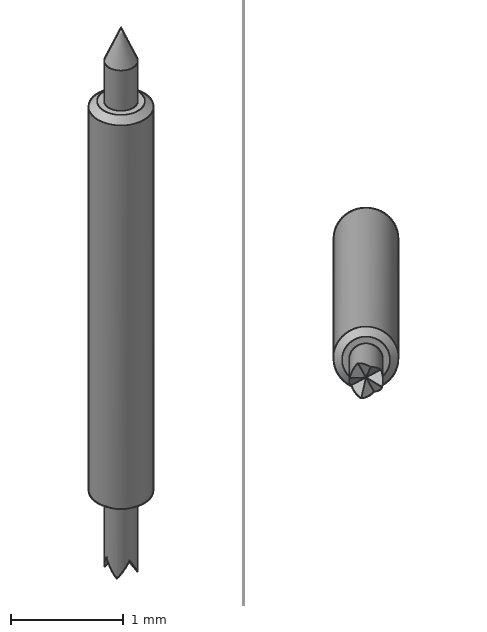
import cadquery as cq
import math

total_length = 5.9
barrel_diameter = 0.58
pin_diameter = 0.3
pin_projection = 0.8

chamfer_width = 0.075
chamfer_height = 0.06

cone_angle = 45.0

groove_depth = 0.18
groove_angle = 60.0

barrel_radius = barrel_diameter / 2
pin_radius = pin_diameter / 2
barrel_bottom = pin_projection
barrel_top = total_length - pin_projection
cone_height = pin_radius / math.tan(math.radians(cone_angle / 2))
cone_base = total_length - cone_height
groove_half_width = groove_depth * math.tan(math.radians(groove_angle / 2))


def turned_body():
    """Barrel, both pin ends and the cone, revolved from one half profile."""
    flat_radius = barrel_radius - chamfer_width
    profile = [
        (0, 0),
        (pin_radius, 0),
        (pin_radius, barrel_bottom),
        (flat_radius, barrel_bottom),
        (barrel_radius, barrel_bottom + chamfer_height),
        (barrel_radius, barrel_top - chamfer_height),
        (flat_radius, barrel_top),
        (pin_radius, barrel_top),
        (pin_radius, cone_base),
        (0, total_length),
    ]
    return cq.Workplane("XZ").polyline(profile).close().revolve(360, (0, 0), (0, 1))


def crown_groove(plane):
    """V-groove across the bottom end, running along the normal of the plane."""
    triangle = [(-groove_half_width, 0), (groove_half_width, 0), (0, groove_depth)]
    return cq.Workplane(plane).polyline(triangle).close().extrude(pin_diameter, both=True)


result = turned_body()
for plane in ("XZ", "YZ"):
    result = result.cut(crown_groove(plane))